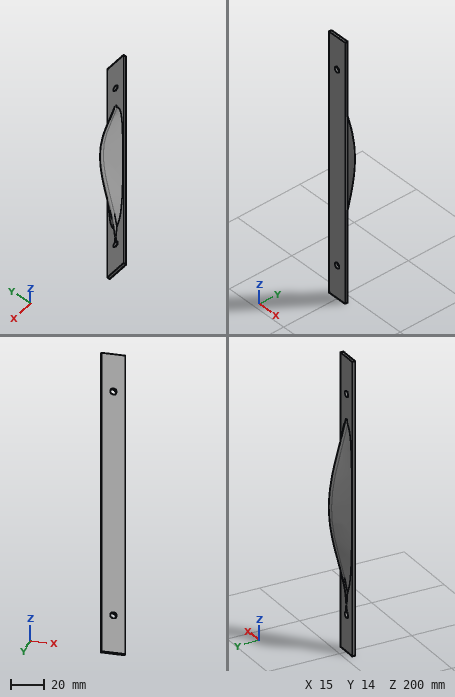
import cadquery as cq

plate_length = 200.0
plate_width = 15.0
plate_thickness = 2.0
hole_diameter = 4.0
hole_spacing = 150.0

overall_depth = 14.0
grip_height = overall_depth - plate_thickness
grip_base_width = 15.0
crown_width = 2.8
crown_rise = 0.8
root_depth = 1.5

crown_stations = [
    (-72.0, 0.2),
    (-58.0, 1.0),
    (-44.0, 4.0),
    (-24.0, 9.0),
    (0.0, grip_height),
    (24.0, 9.2),
    (42.0, 4.5),
    (60.0, -0.5),
]


def make_plate():
    plate = cq.Workplane("XY").box(plate_width, plate_thickness, plate_length, centered=(True, False, True))
    holes = (
        cq.Workplane("XZ")
        .pushPoints([(0, -hole_spacing / 2), (0, hole_spacing / 2)])
        .circle(hole_diameter / 2)
        .extrude(-plate_thickness)
    )
    return plate.cut(holes)


def grip_section(z, crown_height):
    """Tapered section with a wide root in the plate and a narrow rounded crown."""
    root_y = plate_thickness - root_depth
    crown_y = plate_thickness + crown_height
    shoulder_y = crown_y - crown_rise
    return (
        cq.Workplane("XY", origin=(0, 0, z))
        .moveTo(-grip_base_width / 2, root_y)
        .lineTo(grip_base_width / 2, root_y)
        .lineTo(crown_width / 2, shoulder_y)
        .threePointArc((0, crown_y), (-crown_width / 2, shoulder_y))
        .close()
        .wire()
        .val()
    )


def make_grip():
    sections = [grip_section(z, height) for z, height in crown_stations]
    return cq.Workplane(obj=cq.Solid.makeLoft(sections))


result = make_plate().union(make_grip())